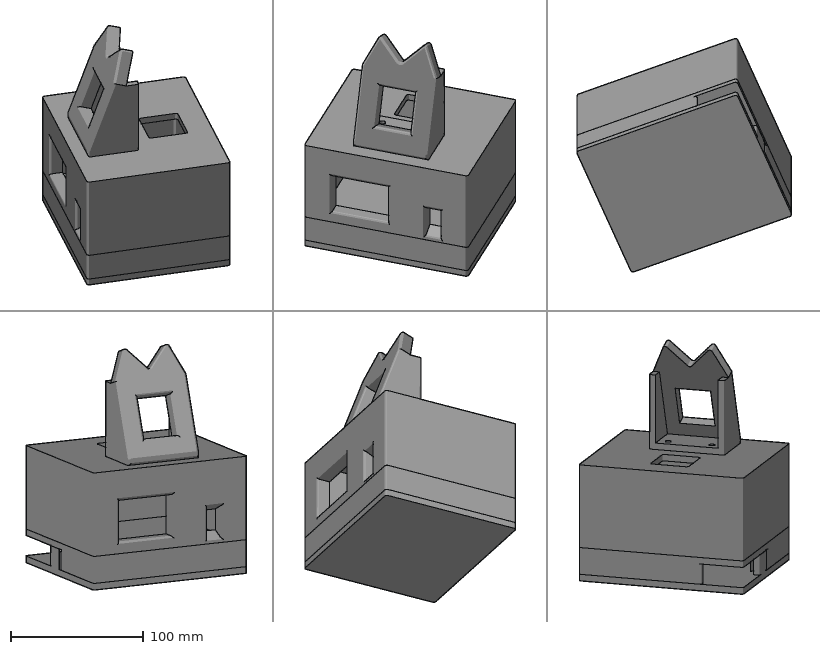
import cadquery as cq
import math

LENGTH = 131.0
DEPTH = 112.0
PLATE_TOP = 5.2
FRAME_TOP = 26.0
BOX_TOP = 90.6
WALL = 10.0
SHEET = 5.0
ROUND = 2.0

LEFT = -LENGTH / 2
FRONT = -DEPTH / 2
BACK = DEPTH / 2
INNER_LEFT = LEFT + WALL
INNER_BACK = BACK - WALL

OPENING_TOP = FRAME_TOP - SHEET
OPENING_FRONT_Y = -1.2
OPENING_LIP = WALL / 2
OPENING_FRONT_SLANT = math.radians(30)
OPENING_END_X = -38.3
OPENING_END_SLANT = math.radians(30)

TAB_THICKNESS = WALL / 2
TAB_FRONT_Y = 0.3
TAB_BACK_Y = 16.0

TOP_HOLE_SIZE = 30.3
TOP_HOLE_Y = 21.2

LARGE_WINDOW_WIDTH = 44.9
LARGE_WINDOW_HEIGHT = 32.0
LARGE_WINDOW_X = -20.9
LARGE_WINDOW_Z = 51.0
SMALL_WINDOW_WIDTH = 11.8
SMALL_WINDOW_X = 37.5
SMALL_WINDOW_INNER_BOTTOM = 33.9
SMALL_WINDOW_INNER_TOP = 50.0
SMALL_WINDOW_FLARE = math.radians(26)

LEAN = math.radians(20)
HEAD_WIDTH = 60.0
HEAD_FRONT_Y = -45.9
HEAD_BACK_Y = -5.9
SHOULDER_HEIGHT = 60.2
EAR_HEIGHT = 85.5
EAR_X = 18.5
NOTCH_DEPTH = 19.3
HEAD_WINDOW_WIDTH = 28.2
HEAD_WINDOW_BOTTOM = 14.5
HEAD_WINDOW_TOP = 46.3
SCREW_HOLE_DIAMETER = 4.5
SCREW_HOLE_X = 17.4
SCREW_HOLE_Y = -14.0

HEAD_FLOOR_TOP = BOX_TOP + SHEET
PANEL_PLANE = cq.Plane(
    origin=(0, HEAD_FRONT_Y, HEAD_FLOOR_TOP),
    xDir=(1, 0, 0),
    normal=(0, -math.cos(LEAN), math.sin(LEAN)),
)


def rounded_block(length, depth, bottom, top, y=0):
    """Upright block with rounded vertical edges, centred at x = 0."""
    block = cq.Workplane("XY", origin=(0, y, bottom)).rect(length, depth).extrude(top - bottom)
    return block.edges("|Z").fillet(ROUND)


def outer_block(bottom, top):
    return rounded_block(LENGTH, DEPTH, bottom, top)


def cavity(bottom, top):
    return rounded_block(LENGTH - 2 * WALL, DEPTH - 2 * WALL, bottom, top)


def side_prism(points, x_center, width):
    """Prism along X over an outline of (y, z) points."""
    start = x_center - width / 2
    return cq.Workplane("YZ", origin=(start, 0, 0)).polyline(points).close().extrude(width)


def fillet_nearest_edge(body, point):
    return body.edges(cq.selectors.NearestToPointSelector(point)).fillet(ROUND)


def make_base_plate():
    inner_x = LEFT + TAB_THICKNESS
    slant_rise = TAB_THICKNESS / math.tan(OPENING_FRONT_SLANT)
    tab_outline = [
        (LEFT, TAB_FRONT_Y),
        (inner_x, TAB_FRONT_Y + slant_rise),
        (inner_x, TAB_BACK_Y),
        (LEFT, TAB_BACK_Y),
    ]
    tab = (
        cq.Workplane("XY", origin=(0, 0, PLATE_TOP))
        .polyline(tab_outline)
        .close()
        .extrude(OPENING_TOP - PLATE_TOP)
    )
    tab = fillet_nearest_edge(tab, (LEFT, TAB_BACK_Y, (PLATE_TOP + OPENING_TOP) / 2))
    return outer_block(0, PLATE_TOP).union(tab)


def cable_opening():
    """Cut through the left wall, around the back corner and along the back wall."""
    lip_x = LEFT + OPENING_LIP
    front_slant_rise = (INNER_LEFT - lip_x) / math.tan(OPENING_FRONT_SLANT)
    end_slant_run = WALL / math.tan(OPENING_END_SLANT)
    outline = [
        (LEFT, OPENING_FRONT_Y),
        (lip_x, OPENING_FRONT_Y),
        (INNER_LEFT, OPENING_FRONT_Y + front_slant_rise),
        (INNER_LEFT, INNER_BACK - ROUND),
        (INNER_LEFT + ROUND, INNER_BACK),
        (OPENING_END_X + end_slant_run, INNER_BACK),
        (OPENING_END_X, BACK),
        (LEFT, BACK),
    ]
    height = OPENING_TOP - PLATE_TOP
    return cq.Workplane("XY", origin=(0, 0, PLATE_TOP)).polyline(outline).close().extrude(height)


def make_frame():
    """Walls under a closed top sheet, with the cable opening cut through them."""
    frame = outer_block(PLATE_TOP, FRAME_TOP)
    frame = frame.cut(cavity(PLATE_TOP, OPENING_TOP))
    frame = frame.cut(cable_opening())
    middle_z = (PLATE_TOP + OPENING_TOP) / 2
    for x, y in [(LEFT, OPENING_FRONT_Y), (OPENING_END_X, BACK)]:
        frame = fillet_nearest_edge(frame, (x, y, middle_z))
    return frame


def large_window():
    window = cq.Workplane("XY").box(LARGE_WINDOW_WIDTH, WALL, LARGE_WINDOW_HEIGHT)
    return window.translate((LARGE_WINDOW_X, FRONT + WALL / 2, LARGE_WINDOW_Z))


def small_window():
    """Window whose top and bottom flare out toward the front."""
    flare = WALL * math.tan(SMALL_WINDOW_FLARE)
    outline = [
        (FRONT, SMALL_WINDOW_INNER_BOTTOM - flare),
        (FRONT + WALL, SMALL_WINDOW_INNER_BOTTOM),
        (FRONT + WALL, SMALL_WINDOW_INNER_TOP),
        (FRONT, SMALL_WINDOW_INNER_TOP + flare),
    ]
    return side_prism(outline, SMALL_WINDOW_X, SMALL_WINDOW_WIDTH)


def make_box():
    ceiling = BOX_TOP - SHEET
    box = outer_block(FRAME_TOP, BOX_TOP)
    box = box.cut(cavity(FRAME_TOP, ceiling))
    box = box.cut(rounded_block(TOP_HOLE_SIZE, TOP_HOLE_SIZE, ceiling, BOX_TOP, TOP_HOLE_Y))
    box = box.cut(large_window())
    box = box.cut(small_window())
    rims = [edge for wire in box.faces("<Y").val().innerWires() for edge in wire.Edges()]
    return box.newObject(rims).fillet(ROUND)


def head_sides():
    """Floor and two side walls, open at the back."""
    shoulder_front = PANEL_PLANE.toWorldCoords((0, SHOULDER_HEIGHT, 0))
    shoulder_back = PANEL_PLANE.toWorldCoords((0, SHOULDER_HEIGHT, -WALL))
    outline = [
        (HEAD_FRONT_Y, BOX_TOP),
        (HEAD_BACK_Y, BOX_TOP),
        (HEAD_BACK_Y, shoulder_back.z),
        (shoulder_back.y, shoulder_back.z),
        (shoulder_front.y, shoulder_front.z),
        (HEAD_FRONT_Y, HEAD_FLOOR_TOP),
    ]
    panel_back_y = HEAD_FRONT_Y + WALL / math.cos(LEAN)
    hollow = [
        (panel_back_y, HEAD_FLOOR_TOP),
        (HEAD_BACK_Y, HEAD_FLOOR_TOP),
        (HEAD_BACK_Y, shoulder_back.z),
        (shoulder_back.y, shoulder_back.z),
    ]
    sides = side_prism(outline, 0, HEAD_WIDTH).edges("|Z and >Y").fillet(ROUND)
    return sides.cut(side_prism(hollow, 0, HEAD_WIDTH - 2 * SHEET))


def head_panel():
    """Leaning panel with two ears and a V notch between them, all with rounded points."""
    half_width = HEAD_WIDTH / 2
    points = [(-EAR_X, EAR_HEIGHT), (0, EAR_HEIGHT - NOTCH_DEPTH), (EAR_X, EAR_HEIGHT)]
    outline = [
        (-half_width, 0),
        (-half_width, SHOULDER_HEIGHT),
        *points,
        (half_width, SHOULDER_HEIGHT),
        (half_width, 0),
    ]
    panel = cq.Workplane(PANEL_PLANE).polyline(outline).close().extrude(-WALL)
    for x, height in points:
        middle = PANEL_PLANE.toWorldCoords((x, height, -WALL / 2))
        panel = fillet_nearest_edge(panel, middle.toTuple())
    return panel


def head_window():
    height = HEAD_WINDOW_TOP - HEAD_WINDOW_BOTTOM
    return (
        cq.Workplane(PANEL_PLANE)
        .center(0, HEAD_WINDOW_BOTTOM + height / 2)
        .rect(HEAD_WINDOW_WIDTH, height)
        .extrude(-WALL)
    )


def screw_holes():
    return (
        cq.Workplane("XY", origin=(0, SCREW_HOLE_Y, BOX_TOP))
        .pushPoints([(-SCREW_HOLE_X, 0), (SCREW_HOLE_X, 0)])
        .circle(SCREW_HOLE_DIAMETER / 2)
        .extrude(SHEET)
    )


def make_head():
    panel_face = cq.selectors.DirectionMinMaxSelector(PANEL_PLANE.zDir)
    head = head_sides().union(head_panel())
    front_edges = head.faces(panel_face).edges().add(head.faces("<Y").edges())
    head = front_edges.fillet(ROUND)
    head = head.cut(head_window())
    rim = head.faces(panel_face).val().innerWires()[0].Edges()
    head = head.newObject(rim).fillet(ROUND)
    return head.cut(screw_holes())


base_plate = make_base_plate()
frame = make_frame()
box = make_box()
head = make_head()

result = cq.Compound.makeCompound([base_plate.val(), frame.val(), box.val(), head.val()])